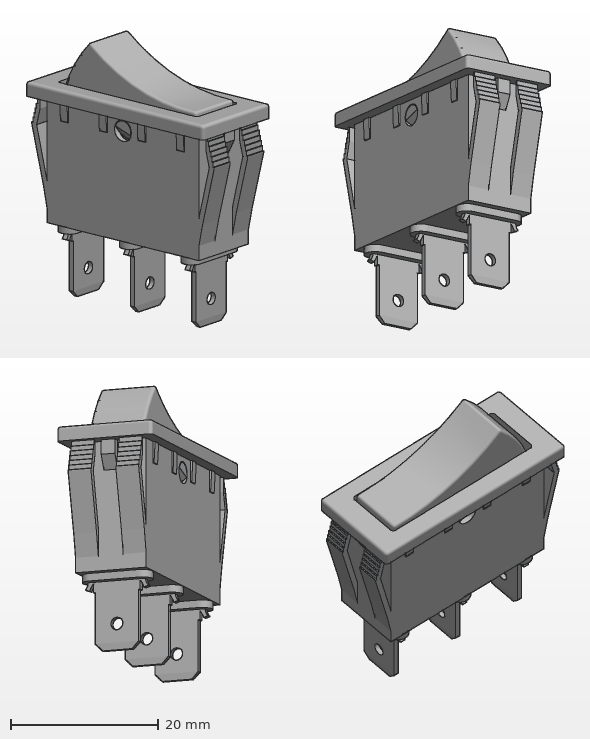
import cadquery as cq

bezel_length = 31.97
bezel_width = 13.9
bezel_height = 2.05
bezel_round = 0.5
case_length = 27.22
case_width = 10.3
case_depth = 17.9

opening_length = 25.0
opening_width = 8.5
opening_round = 0.5
opening_depth = 10.75

pivot_z = -2.2
pivot_hole_diameter = 3.0
pivot_pin_diameter = 2.8

rocker_tilt = 18.0
rocker_width = 7.97
rocker_round = 0.4
rocker_tip_x = 9.98
rocker_tip_z = 8.2
rocker_dish_z = 6.45
rocker_side_x = 11.35
rocker_side_z = 4.9
rocker_foot_x = 12.05
rocker_foot_z = -2.6
pin_ramp_depth = 1.1

side_rib_width = 1.3
side_rib_positions = (-10.42, -3.45, 3.45, 10.42)
side_rib_height = 0.25
side_rib_tip_height = 0.15
side_rib_flat = 0.95
side_rib_length = 2.95

end_rib_width = 2.0
end_rib_height = 1.05
end_rib_flat = 2.0
end_rib_length = 4.0

clip_inner_y = 1.8
clip_width = case_width / 2 - clip_inner_y
clip_top_outer_x = 15.15
clip_top_inner_x = 14.87
clip_step_count = 6
clip_step_height = 0.695
clip_peak_x = 16.35
clip_peak_bottom_z = -4.38
clip_bend_x = 15.45
clip_inner_straight_z = -2.05
clip_inner_foot_z = -11.95
clip_kink_x = 14.28
clip_kink_z = -12.7
clip_foot_z = -15.87

terminal_pitch = 10.997
collar_diameter = 3.0
collar_length = 10.15
collar_height = 1.05
collar_z = -case_depth - collar_height
blade_thickness = 0.78
blade_width = 6.3
blade_tip_z = -28.52
blade_tip_taper = 0.95
blade_tip_thickness = 0.55
blade_hole_diameter = 1.7
blade_hole_z = -24.9
shoulder_width = 6.82
shoulder_z = -20.4

barb_root_y = 4.15
barb_outer_middle = (4.35, -19.55)
barb_outer_end = (4.6, -19.9)
barb_inner_end = (3.97, -20.15)
barb_inner_middle = (3.7, -19.6)
barb_slit_top_z = -19.18


def block(length, width, top_z, height):
    """A box centred on the Z axis that hangs down from top_z."""
    return cq.Workplane("XY", origin=(0, 0, top_z)).rect(length, width).extrude(-height)


def make_bezel():
    bezel = block(bezel_length, bezel_width, bezel_height, bezel_height)
    return bezel.edges("|Z or >Z").fillet(bezel_round)


def make_opening():
    opening = block(opening_length, opening_width, bezel_height, opening_depth)
    return opening.edges("|Z").fillet(opening_round)


def make_pivot_cylinder(diameter, length):
    """A cylinder along Y, centred on the pivot axis at the origin."""
    return cq.Workplane("XZ").circle(diameter / 2).extrude(length / 2, both=True)


def make_side_rib(x):
    """Crush rib on the -Y side of the case, tapering towards its lower end."""
    face_y = -case_width / 2
    profile = [
        (face_y, 0),
        (face_y - side_rib_height, 0),
        (face_y - side_rib_height, -side_rib_flat),
        (face_y - side_rib_tip_height, -side_rib_length),
        (face_y, -side_rib_length),
    ]
    rib = cq.Workplane("YZ", origin=(x, 0, 0)).polyline(profile).close()
    return rib.extrude(side_rib_width / 2, both=True)


def make_end_rib():
    """Wedge-ended rib in the middle of the +X end of the case."""
    face_x = case_length / 2
    profile = [
        (face_x, 0),
        (face_x + end_rib_height, 0),
        (face_x + end_rib_height, -end_rib_flat),
        (face_x, -end_rib_length),
    ]
    return cq.Workplane("XZ").polyline(profile).close().extrude(end_rib_width / 2, both=True)


def make_clip():
    """Serrated spring clip on the +X end of the case, on its +Y half."""
    face_x = case_length / 2
    step_x = (clip_peak_x - clip_top_outer_x) / clip_step_count
    profile = [(clip_top_inner_x, 0)]
    for i in range(clip_step_count):
        x = clip_top_outer_x + i * step_x
        profile.append((x, -i * clip_step_height))
        profile.append((x, -(i + 1) * clip_step_height))
    profile += [
        (clip_peak_x, -clip_step_count * clip_step_height),
        (clip_peak_x, clip_peak_bottom_z),
        (clip_kink_x, clip_kink_z),
        (face_x, clip_foot_z),
        (face_x, clip_inner_foot_z),
        (clip_bend_x, clip_peak_bottom_z),
        (clip_top_inner_x, clip_inner_straight_z),
    ]
    clip = cq.Workplane("XZ", origin=(0, clip_inner_y, 0)).polyline(profile).close()
    return clip.extrude(-clip_width)


def make_barb():
    """Bent locking barb beside the blade, on its +Y side, starting at the collar."""
    barb = (
        cq.Workplane("YZ")
        .moveTo(shoulder_width / 2, collar_z)
        .lineTo(barb_root_y, collar_z)
        .threePointArc(barb_outer_middle, barb_outer_end)
        .lineTo(*barb_inner_end)
        .threePointArc(barb_inner_middle, (shoulder_width / 2, barb_slit_top_z))
        .close()
    )
    return barb.extrude(blade_thickness / 2, both=True)


def make_blade():
    """Flat blade terminal with a shoulder, a cross hole, two barbs and a tapered tip."""
    half_width = blade_width / 2
    taper_z = blade_tip_z + blade_tip_taper
    outline = [
        (-shoulder_width / 2, collar_z),
        (-shoulder_width / 2, shoulder_z),
        (-half_width, shoulder_z),
        (-half_width, taper_z),
        (-half_width + blade_tip_taper, blade_tip_z),
        (half_width - blade_tip_taper, blade_tip_z),
        (half_width, taper_z),
        (half_width, shoulder_z),
        (shoulder_width / 2, shoulder_z),
        (shoulder_width / 2, collar_z),
    ]
    blade = cq.Workplane("YZ").polyline(outline).close().extrude(blade_thickness / 2, both=True)
    edge_profile = [
        (-blade_thickness / 2, collar_z),
        (-blade_thickness / 2, taper_z),
        (-blade_tip_thickness / 2, blade_tip_z),
        (blade_tip_thickness / 2, blade_tip_z),
        (blade_thickness / 2, taper_z),
        (blade_thickness / 2, collar_z),
    ]
    envelope = cq.Workplane("XZ").polyline(edge_profile).close().extrude(shoulder_width, both=True)
    hole = (
        cq.Workplane("YZ", origin=(0, 0, blade_hole_z))
        .circle(blade_hole_diameter / 2)
        .extrude(blade_thickness, both=True)
    )
    barb = make_barb()
    return blade.intersect(envelope).cut(hole).union(barb).union(barb.mirror("XZ"))


def make_terminal():
    """A blade with the stadium-shaped collar that it comes out of."""
    collar = (
        cq.Workplane("XY", origin=(0, 0, -case_depth))
        .slot2D(collar_length, collar_diameter, 90)
        .extrude(-collar_height)
    )
    return collar.union(make_blade())


def make_housing():
    housing = make_bezel().union(block(case_length, case_width, 0, case_depth))
    for x in side_rib_positions:
        rib = make_side_rib(x)
        housing = housing.union(rib).union(rib.mirror("XZ"))
    clip = make_clip()
    end_features = make_end_rib().union(clip).union(clip.mirror("XZ"))
    housing = housing.union(end_features).union(end_features.mirror("YZ"))
    terminal = make_terminal()
    for i in (-1, 0, 1):
        housing = housing.union(terminal.translate((i * terminal_pitch, 0, 0)))
    pivot_hole = make_pivot_cylinder(pivot_hole_diameter, 2 * case_width)
    return housing.cut(make_opening()).cut(pivot_hole.translate((0, 0, pivot_z)))


def make_rocker_paddle():
    """Paddle with a dished top and bulging ends, rounded on all edges but those at the bottom."""
    paddle = (
        cq.Workplane("XZ")
        .moveTo(-rocker_foot_x, rocker_foot_z)
        .threePointArc((-rocker_side_x, rocker_side_z), (-rocker_tip_x, rocker_tip_z))
        .threePointArc((0, rocker_dish_z), (rocker_tip_x, rocker_tip_z))
        .threePointArc((rocker_side_x, rocker_side_z), (rocker_foot_x, rocker_foot_z))
        .close()
        .extrude(rocker_width / 2, both=True)
    )
    return paddle.faces("not <Z").edges("not <Z").fillet(rocker_round)


def make_pin_ramp():
    """Wedge that bevels the lower half of the pivot pin's -Y end."""
    radius = pivot_pin_diameter / 2
    end_y = -case_width / 2
    profile = [
        (end_y, 0),
        (end_y, -radius),
        (end_y + pin_ramp_depth, -radius),
    ]
    return cq.Workplane("YZ").polyline(profile).close().extrude(pivot_pin_diameter, both=True)


def make_rocker():
    ramp = make_pin_ramp()
    pin = make_pivot_cylinder(pivot_pin_diameter, case_width).cut(ramp).cut(ramp.mirror("XZ"))
    rocker = make_rocker_paddle().union(pin)
    return rocker.rotate((0, 0, 0), (0, 1, 0), rocker_tilt).translate((0, 0, pivot_z))


housing = make_housing()
rocker = make_rocker()
result = cq.Compound.makeCompound([housing.val(), rocker.val()])